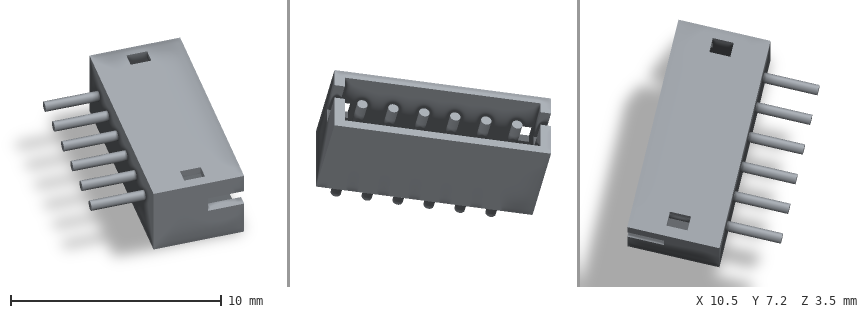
import cadquery as cq

body_length = 10.5
body_depth = 4.5
body_height = 3.5

end_wall = 0.5
top_wall = 0.4
bottom_wall = 0.4
back_wall = 1.0

pin_count = 6
pin_pitch = 1.5
pin_diameter = 0.5
pin_axis_z = 2.19
tail_length = 2.7
tip_recess = 0.7

notch_depth = 1.8
notch_bottom = 1.75
notch_top = 2.54

window_length = 0.7
window_width = 1.03
window_front = notch_depth + window_width


def block(x_min, x_max, y_min, y_max, z_min, z_max):
    """Axis-aligned box between the given limits."""
    size = (x_max - x_min, y_max - y_min, z_max - z_min)
    return cq.Workplane("XY").box(*size, centered=False).translate((x_min, y_min, z_min))


def make_housing():
    """Open box with end notches and two latch windows."""
    half_length = body_length / 2
    half_cavity = half_length - end_wall
    housing = block(-half_length, half_length, 0, body_depth, 0, body_height)
    cavity = block(
        -half_cavity, half_cavity, back_wall, body_depth, bottom_wall, body_height - top_wall
    )
    notches = block(
        -half_length, half_length, body_depth - notch_depth, body_depth, notch_bottom, notch_top
    )
    housing = housing.cut(cavity).cut(notches)

    for window_x in (-half_cavity, half_cavity - window_length):
        window = block(
            window_x, window_x + window_length,
            body_depth - window_front, body_depth - notch_depth,
            body_height - top_wall, body_height,
        )
        housing = housing.cut(window)
    return housing


def make_pin(x):
    """Round pin along Y, from the tail end to the tip inside the cavity."""
    pin_length = tail_length + body_depth - tip_recess
    tail_end = cq.Workplane("XZ", origin=(x, -tail_length, pin_axis_z))
    return tail_end.circle(pin_diameter / 2).extrude(-pin_length)


result = make_housing()
for index in range(pin_count):
    pin_x = (index - (pin_count - 1) / 2) * pin_pitch
    result = result.union(make_pin(pin_x))